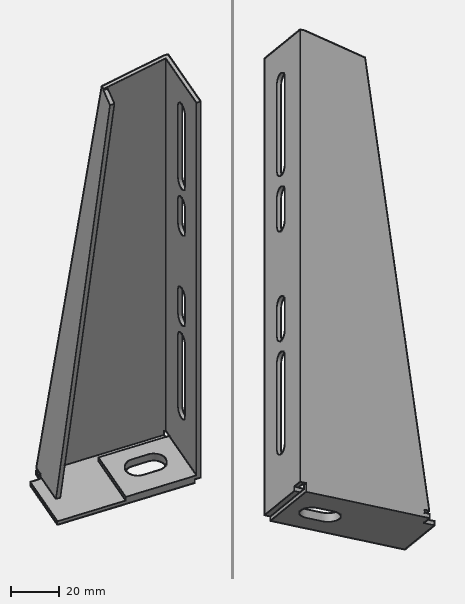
import cadquery as cq

WIDTH = 32.5
DEPTH = 65.5
HEIGHT = 210.3
SHEET = 2.0

TOP_DEPTH = 30.3
SHOULDER_HEIGHT = 203.8
BASE_DEPTH = 60.4

FRONT_TOP_WIDTH = 9.3
FRONT_TOP_OUTER_HEIGHT = 200.8
FRONT_BASE_WIDTH = 20.0
FRONT_BASE_HEIGHT = 2.3

FOLD_DEPTH = 34.3
FLANGE_START = 5.5
BACK_RELIEF_DEPTH = 2.7
FRONT_RELIEF_START = 58.0
FRONT_RELIEF_WIDTH = 4.2
FRONT_RELIEF_TOP = 3.4

SLOT_X = 17.7
BACK_SLOT_WIDTH = 7.0
BACK_SLOT_MIDDLE = 110.6
BACK_SLOTS = [(63.5, 46.7), (25.0, 20.2)]
BASE_SLOT_Y = -18.3
BASE_SLOT_WIDTH = 10.7
BASE_SLOT_LENGTH = 18.0


def block(x_range, y_range, z_range):
    """Box given by its limits along each axis."""
    corner = (x_range[0], y_range[0], z_range[0])
    size = [high - low for low, high in (x_range, y_range, z_range)]
    return cq.Workplane("XY").box(*size, centered=False).translate(corner)


def side_plate():
    """Tapered plate, stepped at the back corner, with its lower edge at Z = 0."""
    outline = [
        (0, 2 * SHEET),
        (0, HEIGHT),
        (-SHEET, HEIGHT),
        (-TOP_DEPTH, SHOULDER_HEIGHT),
        (-BASE_DEPTH, SHEET),
        (-BASE_DEPTH, 0),
        (-BACK_RELIEF_DEPTH, 0),
        (-BACK_RELIEF_DEPTH, 2 * SHEET),
    ]
    return cq.Workplane("YZ").polyline(outline).close().extrude(SHEET)


def front_flange():
    """Strip along the sloping edge, trimmed to its tapering front outline."""
    slope_length = ((BASE_DEPTH - TOP_DEPTH) ** 2 + (SHOULDER_HEIGHT - SHEET) ** 2) ** 0.5
    inset = SHEET * slope_length / (SHOULDER_HEIGHT - SHEET)
    strip_outline = [
        (-TOP_DEPTH, SHOULDER_HEIGHT),
        (-BASE_DEPTH, SHEET),
        (-BASE_DEPTH + inset, SHEET),
        (-TOP_DEPTH + inset, SHOULDER_HEIGHT),
    ]
    strip = cq.Workplane("YZ").polyline(strip_outline).close().extrude(WIDTH)
    front_outline = [
        (0, FRONT_BASE_HEIGHT),
        (0, SHOULDER_HEIGHT),
        (FRONT_TOP_WIDTH, FRONT_TOP_OUTER_HEIGHT),
        (FRONT_BASE_WIDTH, FRONT_BASE_HEIGHT),
    ]
    envelope = cq.Workplane("XZ").polyline(front_outline).close().extrude(DEPTH)
    return strip.intersect(envelope)


def back_flange():
    """Back plate with a fold that rests on the bottom flange."""
    plate = block((0, WIDTH), (-SHEET, 0), (2 * SHEET, HEIGHT))
    fold = block((FLANGE_START, WIDTH), (-FOLD_DEPTH, 0), (SHEET, 2 * SHEET))
    return plate.union(fold)


def bottom_flange():
    """Flange under the fold, narrowed where it projects past the side plate."""
    inner = block((0, WIDTH), (-BASE_DEPTH, -BACK_RELIEF_DEPTH), (0, SHEET))
    tab = block((FLANGE_START, WIDTH), (-DEPTH, -BASE_DEPTH), (0, SHEET))
    return inner.union(tab)


def front_relief():
    """Clearance at the lower front corner."""
    return block(
        (0, FRONT_RELIEF_WIDTH),
        (-DEPTH, -FRONT_RELIEF_START),
        (SHEET, FRONT_RELIEF_TOP),
    )


def back_slots():
    """Two long and two short slots, mirrored about the slot middle height."""
    places = cq.Workplane("XZ")
    for offset, length in BACK_SLOTS:
        centers = [(SLOT_X, BACK_SLOT_MIDDLE + side * offset) for side in (-1, 1)]
        places = places.pushPoints(centers).slot2D(length, BACK_SLOT_WIDTH, 90)
    return places.extrude(SHEET)


def base_slot():
    """Slot through the fold and the bottom flange."""
    return (
        cq.Workplane("XY")
        .center(SLOT_X, BASE_SLOT_Y)
        .slot2D(BASE_SLOT_LENGTH, BASE_SLOT_WIDTH, 90)
        .extrude(2 * SHEET)
    )


result = (
    side_plate()
    .union(front_flange())
    .union(back_flange())
    .union(bottom_flange())
    .cut(front_relief())
    .cut(back_slots())
    .cut(base_slot())
)